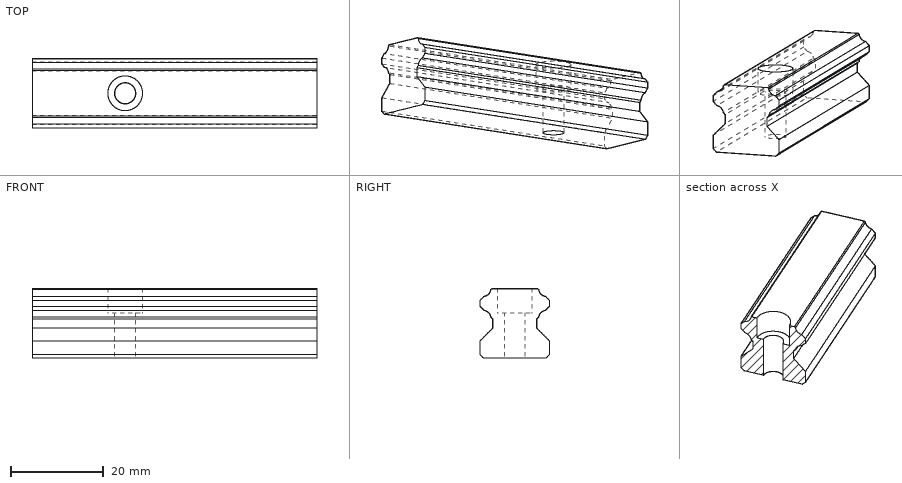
import cadquery as cq
import math

LENGTH = 61.4
WIDTH = 15.0
HEIGHT = 15.0
HALF_WIDTH = WIDTH / 2

FOOT_CHAMFER = 0.75
FOOT_SIDE_TOP = 3.7
NECK_HALF_WIDTH = 4.77

HEAD_MID_HEIGHT = 11.79
HEAD_FLAT_HALF_HEIGHT = 0.65
HEAD_CHAMFER = 0.88
GROOVE_INNER_HALF_WIDTH = 5.2
GROOVE_REACH = 2.96
GROOVE_SAG = 0.34
TOP_CHAMFER = HEIGHT - HEAD_MID_HEIGHT - GROOVE_REACH

HOLE_FROM_END = 20.0
HOLE_DIAMETER = 4.5
COUNTERBORE_DIAMETER = 7.5
COUNTERBORE_DEPTH = 5.3


def groove_arc_middle(start, end):
    """Middle of a groove arc, set in from its chord towards the rail's centre."""
    chord_y = end[0] - start[0]
    chord_z = end[1] - start[1]
    inset = GROOVE_SAG / math.hypot(chord_y, chord_z)
    middle_y = (start[0] + end[0]) / 2 - abs(chord_z) * inset
    toward_mid_height = math.copysign(abs(chord_y) * inset, HEAD_MID_HEIGHT - start[1])
    return (middle_y, (start[1] + end[1]) / 2 + toward_mid_height)


def make_rail():
    """Rail section drawn on its +Y half, mirrored, and extruded along X."""
    groove_outer = HALF_WIDTH - HEAD_CHAMFER
    head_chamfer_reach = HEAD_FLAT_HALF_HEIGHT + HEAD_CHAMFER
    lower_inner = (GROOVE_INNER_HALF_WIDTH, HEAD_MID_HEIGHT - GROOVE_REACH)
    lower_outer = (groove_outer, HEAD_MID_HEIGHT - head_chamfer_reach)
    upper_outer = (groove_outer, HEAD_MID_HEIGHT + head_chamfer_reach)
    upper_inner = (GROOVE_INNER_HALF_WIDTH, HEAD_MID_HEIGHT + GROOVE_REACH)

    foot_slope_top = FOOT_SIDE_TOP + HALF_WIDTH - NECK_HALF_WIDTH
    neck_top = lower_inner[1] - (GROOVE_INNER_HALF_WIDTH - NECK_HALF_WIDTH)

    half_section = (
        cq.Workplane("YZ", origin=(-LENGTH / 2, 0, 0))
        .moveTo(0, 0)
        .lineTo(HALF_WIDTH - FOOT_CHAMFER, 0)
        .lineTo(HALF_WIDTH, FOOT_CHAMFER)
        .lineTo(HALF_WIDTH, FOOT_SIDE_TOP)
        .lineTo(NECK_HALF_WIDTH, foot_slope_top)
        .lineTo(NECK_HALF_WIDTH, neck_top)
        .lineTo(*lower_inner)
        .threePointArc(groove_arc_middle(lower_inner, lower_outer), lower_outer)
        .lineTo(HALF_WIDTH, HEAD_MID_HEIGHT - HEAD_FLAT_HALF_HEIGHT)
        .lineTo(HALF_WIDTH, HEAD_MID_HEIGHT + HEAD_FLAT_HALF_HEIGHT)
        .lineTo(*upper_outer)
        .threePointArc(groove_arc_middle(upper_outer, upper_inner), upper_inner)
        .lineTo(GROOVE_INNER_HALF_WIDTH - TOP_CHAMFER, HEIGHT)
        .lineTo(0, HEIGHT)
    )
    return half_section.mirrorY().extrude(LENGTH)


def cut_mounting_hole(rail):
    """Counterbored hole through the rail, on its centreline."""
    return (
        rail.faces(">Z")
        .workplane(origin=(0, 0, HEIGHT))
        .center(HOLE_FROM_END - LENGTH / 2, 0)
        .cboreHole(HOLE_DIAMETER, COUNTERBORE_DIAMETER, COUNTERBORE_DEPTH)
    )


result = cut_mounting_hole(make_rail())